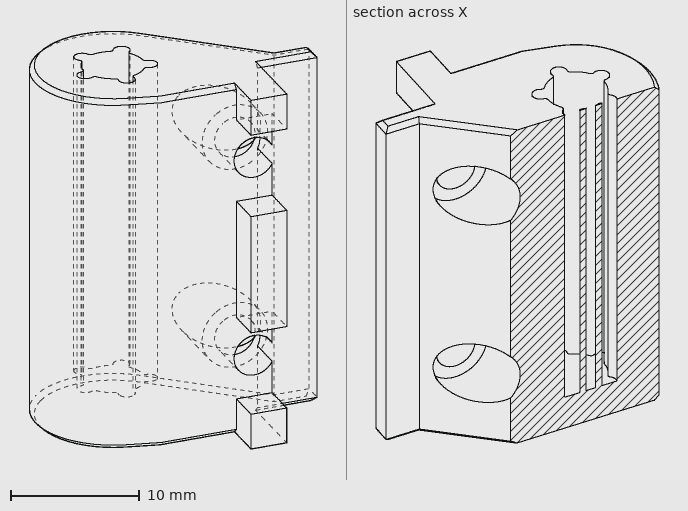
import cadquery as cq
import math

height = 30
edge_chamfer = 0.4
barrel_radius = 6.5

flange_left = 2.3
flange_right = 4.0
flange_top = 15.5
flange_root_y = 12.57

side_x = 7.0
side_bottom_y = 1.2
tab_end_x = 10.0
tab_bottom_y = 7.5
tab_top_y = 10.5
end_tab_height = 3
middle_tab_height = 10.0

screw_diameter = 3.4
counterbore_diameter = 5.5
screw_y = (tab_bottom_y + tab_top_y) / 2
screw_spacing = 17.0
counterbore_floor_x = 3

socket_floor_z = 3
lobe_count = 5
socket_core_radius = 2.5
lobe_center_radius = 2.82
lobe_radius = 0.65
socket_fillet = 0.27


def tangent_point(x, y, side):
    """Point where a line from (x, y) touches the barrel; side is +1 or -1 (counterclockwise or clockwise)."""
    angle = math.atan2(y, x) + side * math.acos(barrel_radius / math.hypot(x, y))
    return (barrel_radius * math.cos(angle), barrel_radius * math.sin(angle))


def box_between(x_range, y_range, z_range):
    size = [end - start for start, end in (x_range, y_range, z_range)]
    return cq.Workplane("XY").box(*size, centered=False).translate((x_range[0], y_range[0], z_range[0]))


def make_body():
    """Teardrop barrel with its flange, chamfered around both ends."""
    return (
        cq.Workplane("XY")
        .moveTo(flange_left, flange_root_y)
        .lineTo(*tangent_point(flange_left, flange_root_y, 1))
        .threePointArc((0, -barrel_radius), tangent_point(side_x, side_bottom_y, -1))
        .lineTo(side_x, side_bottom_y)
        .lineTo(side_x, tab_top_y)
        .lineTo(flange_right, tab_top_y)
        .lineTo(flange_right, flange_top)
        .lineTo(flange_left, flange_top)
        .close()
        .extrude(height)
        .faces("<Z or >Z")
        .chamfer(edge_chamfer)
    )


def add_tabs(body):
    """Three square-edged tabs; the end tabs reach back to the flange and fill the end chamfers."""
    root_x = flange_right - edge_chamfer
    middle_start = (height - middle_tab_height) / 2
    z_ranges = (
        (0, end_tab_height),
        (middle_start, middle_start + middle_tab_height),
        (height - end_tab_height, height),
    )
    for z_range in z_ranges:
        body = body.union(box_between((root_x, tab_end_x), (tab_bottom_y, tab_top_y), z_range))
    return body


def cylinder_along_x(diameter, start_x, end_x, z):
    return (
        cq.Workplane("YZ", origin=(start_x, screw_y, z))
        .circle(diameter / 2)
        .extrude(end_x - start_x)
    )


def cut_screw_holes(body):
    for offset in (-screw_spacing / 2, screw_spacing / 2):
        z = height / 2 + offset
        body = body.cut(cylinder_along_x(screw_diameter, -barrel_radius, tab_end_x, z))
        body = body.cut(cylinder_along_x(counterbore_diameter, -barrel_radius, counterbore_floor_x, z))
    return body


def make_socket():
    """Round core with evenly spaced lobes, smoothed where each lobe leaves the core."""
    depth = height - socket_floor_z
    floor = cq.Workplane("XY", origin=(0, 0, socket_floor_z))
    core = floor.circle(socket_core_radius).extrude(depth)
    lobes = (
        floor
        .polarArray(lobe_center_radius, 0, 360, lobe_count)
        .circle(lobe_radius)
        .extrude(depth)
    )
    return core.union(lobes).edges("|Z").fillet(socket_fillet)


result = cut_screw_holes(add_tabs(make_body())).cut(make_socket())